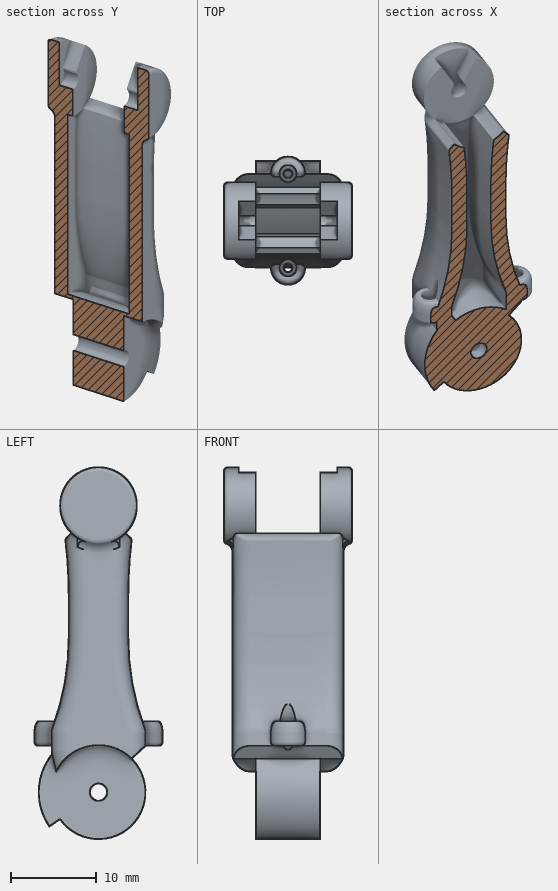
import cadquery as cq
import math

HINGE_SPACING = 33.48
PIN_D = 2.0
TONGUE_R = 5.5
TONGUE_WIDTH = 7.5
STOP_R = 7.0
STOP_LOW_ANGLE = -35.0
STOP_HIGH_ANGLE = 60.0

KNUCKLE_R = 4.5
FORK_WIDTH = 15.0
RIM_FILLET = 0.5
COVE_R = 1.0
COVE_HALF_WIDTH = 3.1
COVE_SIDE_FILLET = 2.9
SLOT_DEPTH = 2.0
SLOT_MOUTH_HALF = 2.25
SLOT_NECK_HALF = 0.6
SLOT_HALF_ANGLE = 30.0

BODY_WIDTH = 13.0
BODY_FILLET = 2.0
WALL = 2.0
HOLLOW_FLOOR_R = 6.0
WAIST_HALF = 3.5
WAIST_LOW_Z = 18.0
WAIST_HIGH_Z = 23.0
FOOT_HALF = 5.47
FOOT_Z = 7.3
BROW_HALF = 4.0
TOP_HALF = 3.1
TOP_Z = 30.34
SHOULDER_HALF = 3.9
SHOULDER_Z = TOP_Z + TOP_HALF - SHOULDER_HALF
SHOULDER_FILLET = 0.4

TAPER_Z = 4.7
TOE_HALF = 4.92
TOE_Z = 2.3
TRIM_TOP_Z = 5.41
TRIM_LOW_Y = 3.83
TRIM_LOW_Z = 3.87

GUIDE_D = 4.0
GUIDE_Y = 5.5
GUIDE_LOW_Z = 5.4
GUIDE_HIGH_Z = 8.3
GUIDE_CROWN_Z = 7.0
GUIDE_FLAT_R = 1.45
GUIDE_BOTTOM_FILLET = 0.5
CORD_D = 1.0
CORD_SEAT_D = 2.0


def x_cylinder(radius, width, z):
    """Cylinder along X, centred on the YZ plane."""
    return cq.Workplane("YZ").center(0, z).circle(radius).extrude(width / 2, both=True)


def x_prism(points, width):
    """Polygon in YZ, extruded evenly to both sides along X."""
    return cq.Workplane("YZ").polyline(points).close().extrude(width / 2, both=True)


def arc_mid_half(half_start, half_end, run):
    """Half thickness midway along an arc's height, where the arc leaves half_start tangentially."""
    rise = half_end - half_start
    radius = (run ** 2 + rise ** 2) / (2 * rise)
    return half_start + radius - math.sqrt(radius ** 2 - (run / 2) ** 2)


def waisted_profile(inset):
    """YZ outline of the body, thinned by inset, with arcs flaring from the waist."""
    waist = WAIST_HALF - inset
    toe = TOE_HALF - inset
    foot = FOOT_HALF - inset
    brow = BROW_HALF - inset
    low_mid = arc_mid_half(waist, foot, WAIST_LOW_Z - FOOT_Z)
    high_mid = arc_mid_half(waist, brow, TOP_Z - WAIST_HIGH_Z)
    low_mid_z = (WAIST_LOW_Z + FOOT_Z) / 2
    high_mid_z = (WAIST_HIGH_Z + TOP_Z) / 2
    return (
        cq.Workplane("YZ")
        .moveTo(-toe, TOE_Z)
        .lineTo(toe, TOE_Z)
        .lineTo(foot, TAPER_Z)
        .lineTo(foot, FOOT_Z)
        .threePointArc((low_mid, low_mid_z), (waist, WAIST_LOW_Z))
        .lineTo(waist, WAIST_HIGH_Z)
        .threePointArc((high_mid, high_mid_z), (brow, TOP_Z))
        .lineTo(-brow, TOP_Z)
        .threePointArc((-high_mid, high_mid_z), (-waist, WAIST_HIGH_Z))
        .lineTo(-waist, WAIST_LOW_Z)
        .threePointArc((-low_mid, low_mid_z), (-foot, FOOT_Z))
        .lineTo(-foot, TAPER_Z)
        .close()
    )


def make_front_trim():
    """Everything outside and below the sloping plane under the front of the foot."""
    slope = (TRIM_TOP_Z - TRIM_LOW_Z) / (FOOT_HALF - TRIM_LOW_Y)
    far_y = GUIDE_Y + GUIDE_D / 2
    far_z = TRIM_TOP_Z + slope * (far_y - FOOT_HALF)
    points = [(-far_y, far_z), (-TRIM_LOW_Y, TRIM_LOW_Z), (-TRIM_LOW_Y, 0), (-far_y, 0)]
    return x_prism(points, FORK_WIDTH)


def make_shoulder_trim(side):
    """Triangle above the sloping top edge of the body's front (-1) or back (+1)."""
    low_z = TOP_Z + TOP_HALF - BROW_HALF
    points = [(side * BROW_HALF, low_z), (side * BROW_HALF, TOP_Z), (side * TOP_HALF, TOP_Z)]
    return x_prism(points, FORK_WIDTH)


def edge_lines(body, half, z):
    """The two straight edges along X at the given half thickness and height."""
    reach = 0.1
    found = []
    for side in (-1, 1):
        low = (-FORK_WIDTH, side * half - reach, z - reach)
        high = (FORK_WIDTH, side * half + reach, z + reach)
        found += body.edges("|X").edges(cq.selectors.BoxSelector(low, high)).vals()
    return body.newObject(found)


def make_body():
    """Waisted block with rounded flanks, sloping shoulders and a foot cut round the lower hinge."""
    body = waisted_profile(0).extrude(BODY_WIDTH / 2, both=True)
    body = body.faces("<X or >X").edges("not(<Z or >Z)").fillet(BODY_FILLET)
    body = edge_lines(body, FOOT_HALF, FOOT_Z).fillet(BODY_FILLET)
    for side in (-1, 1):
        body = body.cut(make_shoulder_trim(side))
    body = edge_lines(body, SHOULDER_HALF, SHOULDER_Z).fillet(SHOULDER_FILLET)
    body = body.cut(make_front_trim())
    return body.cut(x_cylinder(TONGUE_R, FORK_WIDTH, 0))


def make_hollow():
    """Inside of the body at constant wall thickness, with a floor round the lower hinge."""
    hollow = waisted_profile(WALL).extrude(BODY_WIDTH / 2 - WALL, both=True)
    return hollow.cut(x_cylinder(HOLLOW_FLOOR_R, BODY_WIDTH, 0))


def make_cord_guide(side):
    """Rounded upright post on the front (-1) or back (+1) of the body."""
    radius = GUIDE_D / 2
    profile = (
        cq.Workplane("XZ", origin=(0, side * GUIDE_Y, 0))
        .moveTo(0, GUIDE_LOW_Z)
        .lineTo(radius, GUIDE_LOW_Z)
        .lineTo(radius, GUIDE_CROWN_Z)
        .ellipseArc(radius - GUIDE_FLAT_R, GUIDE_HIGH_Z - GUIDE_CROWN_Z, 0, 90, sense=1)
        .lineTo(0, GUIDE_HIGH_Z)
        .close()
    )
    post = profile.revolve(360, (0, 0, 0), (0, 1, 0))
    return post.faces("<Z").edges().fillet(GUIDE_BOTTOM_FILLET)


def make_cord_hole(side):
    """Cord bore with a wider seat that also grooves the body above the guide."""
    base = cq.Workplane("XY", origin=(0, side * GUIDE_Y, GUIDE_CROWN_Z))
    seat = base.circle(CORD_SEAT_D / 2).extrude(WAIST_LOW_Z - GUIDE_CROWN_Z)
    bore = base.circle(CORD_D / 2).extrude(TRIM_LOW_Z - GUIDE_CROWN_Z)
    return seat.union(bore)


def make_tongue():
    """Lower hinge disc with the raised stop sector on its back."""
    disc = x_cylinder(TONGUE_R, TONGUE_WIDTH, 0)
    low = math.radians(STOP_LOW_ANGLE)
    high = math.radians(STOP_HIGH_ANGLE)
    middle = (low + high) / 2
    low_end, mid_point, high_end = (
        (STOP_R * math.cos(angle), STOP_R * math.sin(angle)) for angle in (low, middle, high)
    )
    stop = (
        cq.Workplane("YZ")
        .lineTo(*low_end)
        .threePointArc(mid_point, high_end)
        .close()
        .extrude(TONGUE_WIDTH / 2, both=True)
    )
    return disc.union(stop)


def make_knuckles():
    """Pair of round cheeks across the full fork width, before the gap is cut."""
    barrel = x_cylinder(KNUCKLE_R, FORK_WIDTH, HINGE_SPACING)
    return barrel.faces("<X or >X").edges().fillet(RIM_FILLET)


def make_cove(side):
    """Concave blend from one flank of the body up to the knuckle rim."""
    flank_x = BODY_WIDTH / 2
    rim_x = FORK_WIDTH / 2 - RIM_FILLET
    rim_r = KNUCKLE_R - RIM_FILLET
    cove_x = flank_x + COVE_R
    span = RIM_FILLET + COVE_R
    cove_r = rim_r + math.sqrt(span ** 2 - (cove_x - rim_x) ** 2)
    ratio = RIM_FILLET / span
    end_x = rim_x + ratio * (cove_x - rim_x)
    end_r = rim_r + ratio * (cove_r - rim_r)
    mid_angle = (math.pi + math.atan2(rim_r - cove_r, rim_x - cove_x) % (2 * math.pi)) / 2
    mid = (cove_x + COVE_R * math.cos(mid_angle), cove_r + COVE_R * math.sin(mid_angle))
    root_x = flank_x - BODY_FILLET
    profile = (
        cq.Workplane("XY", origin=(0, 0, HINGE_SPACING))
        .moveTo(side * root_x, 0)
        .lineTo(side * root_x, cove_r)
        .lineTo(side * flank_x, cove_r)
        .threePointArc((side * mid[0], mid[1]), (side * end_x, end_r))
        .lineTo(side * end_x, 0)
        .close()
    )
    ring = profile.revolve(360, (0, 0, 0), (1, 0, 0))
    limit = cq.Workplane("XY").rect(FORK_WIDTH, 2 * COVE_HALF_WIDTH).extrude(TOP_Z)
    limit = limit.edges("|Z").fillet(COVE_SIDE_FILLET)
    return ring.intersect(limit)


def make_pin_slot():
    """Pin seat and flared snap-in slot, sunk into the inner face of both knuckles."""
    width = TONGUE_WIDTH + 2 * SLOT_DEPTH
    rim_z = math.sqrt(KNUCKLE_R ** 2 - SLOT_MOUTH_HALF ** 2)
    flare = 1 / math.tan(math.radians(SLOT_HALF_ANGLE))
    neck_z = rim_z - (SLOT_MOUTH_HALF - SLOT_NECK_HALF) * flare
    open_half = SLOT_MOUTH_HALF + (KNUCKLE_R - rim_z) / flare
    right_side = [(SLOT_NECK_HALF, 0), (SLOT_NECK_HALF, neck_z), (open_half, KNUCKLE_R)]
    left_side = [(-y, z) for y, z in reversed(right_side)]
    points = [(y, z + HINGE_SPACING) for y, z in right_side + left_side]
    return x_prism(points, width).union(x_cylinder(PIN_D / 2, width, HINGE_SPACING))


result = make_body().cut(make_hollow()).union(make_knuckles())
for direction in (-1, 1):
    result = result.union(make_cove(direction))
    result = result.union(make_cord_guide(direction))
result = result.cut(x_cylinder(KNUCKLE_R, TONGUE_WIDTH, HINGE_SPACING))
result = result.cut(make_pin_slot())
result = result.union(make_tongue())
result = result.cut(x_cylinder(PIN_D / 2, FORK_WIDTH, 0))
for direction in (-1, 1):
    result = result.cut(make_cord_hole(direction))